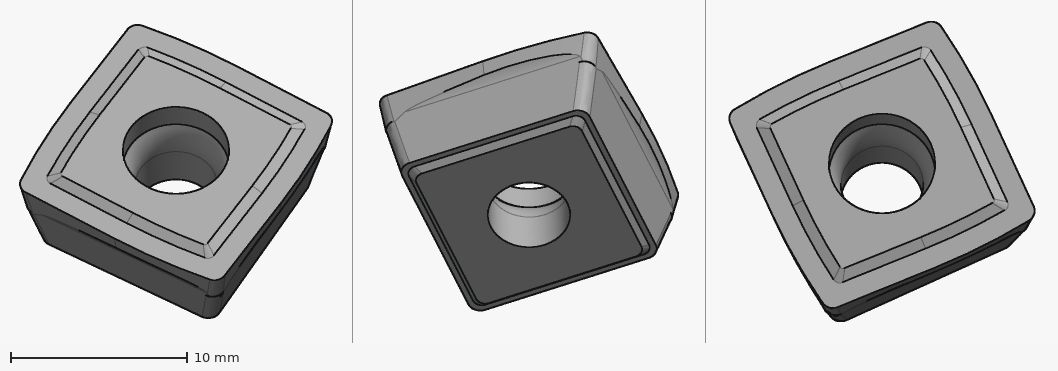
import cadquery as cq
import math

total_height = 6.2
rim_height = 5.98
base_height = 0.4

half_width = 6.9
bow_start = 0.25
bow_radius = 37.26
rim_corner_radius = 0.69
flank_corner_radius = 0.83
flank_draft = 7.6

body_turn = 2.4
body_half_bottom = 5.73
body_draft = 10.9
body_corner_radius = 0.73
body_corner_top = 3.8
foot_ledge = 0.35
foot_chamfer = 0.33
foot_corner_radius = 0.55

blend_height = 4.22
blend_radius = 1.52
blend_sweep = 65.0

land_inset_bottom = 1.27
land_inset_top = 1.93
land_corner_bottom = 0.41
land_corner_top = 0.21

head_radius = 3.01
bore_radius = 2.33
head_depth = 1.71
seat_depth = 1.71


def quarter_turn(point, turns):
    """Point turned counter-clockwise about the part axis by whole quarter turns."""
    x, y = point
    for _ in range(turns):
        x, y = -y, x
    return x, y


def bowed_wire(inset, corner_radius, height):
    """Four-fold outline, moved inward by inset from the rim."""
    half = half_width - inset
    radius = bow_radius - inset
    center_y = radius - half
    corner_x = half - corner_radius
    bow_angle = math.asin((corner_x - bow_start) / (radius - corner_radius))

    def on_bow(angle):
        return bow_start + radius * math.sin(angle), center_y - radius * math.cos(angle)

    corner_y = center_y - (radius - corner_radius) * math.cos(bow_angle)
    middle_angle = (bow_angle + math.pi / 2) / 2
    corner_middle = (
        corner_x + corner_radius * math.sin(middle_angle),
        corner_y - corner_radius * math.cos(middle_angle),
    )
    next_start = (half, corner_y)
    outline = cq.Workplane("XY", origin=(0, 0, height)).moveTo(*quarter_turn(next_start, 3))
    for turns in range(4):
        outline = outline.lineTo(*quarter_turn((bow_start, -half), turns))
        outline = outline.threePointArc(
            quarter_turn(on_bow(bow_angle / 2), turns), quarter_turn(on_bow(bow_angle), turns)
        )
        outline = outline.threePointArc(
            quarter_turn(corner_middle, turns), quarter_turn(next_start, turns)
        )
    return outline.close().val()


def square_wire(half, corner_radius, height):
    square = cq.Workplane("XY", origin=(0, 0, height)).rect(2 * half, 2 * half).val()
    return square.fillet2D(corner_radius, square.Vertices())


def loft(lower, upper):
    return cq.Workplane(cq.Solid.makeLoft([lower, upper], True))


def body_half(height):
    return body_half_bottom + (height - base_height) * math.tan(math.radians(body_draft))


def flared_bar():
    """Long bar whose drafted side faces curve outward along a tangent blend."""
    draft = math.radians(body_draft)
    center_x = body_half(blend_height) + blend_radius * math.cos(draft)
    center_z = blend_height - blend_radius * math.sin(draft)

    def on_blend(degrees):
        angle = math.pi - draft - math.radians(degrees)
        return center_x + blend_radius * math.cos(angle), center_z + blend_radius * math.sin(angle)

    end = on_blend(blend_sweep)
    half_bar = (
        cq.Workplane("XZ")
        .moveTo(0, body_corner_top)
        .lineTo(body_half(body_corner_top), body_corner_top)
        .lineTo(body_half(blend_height), blend_height)
        .threePointArc(on_blend(blend_sweep / 2), end)
        .lineTo(end[0], rim_height)
        .lineTo(0, rim_height)
        .close()
        .extrude(2 * half_width, both=True)
    )
    return half_bar.union(half_bar.mirror("YZ"))


lower_body = loft(
    square_wire(body_half_bottom, body_corner_radius, base_height),
    square_wire(body_half(body_corner_top), body_corner_radius, body_corner_top),
)
flare = flared_bar().intersect(flared_bar().rotate((0, 0, 0), (0, 0, 1), 90))
core = lower_body.union(flare).rotate((0, 0, 0), (0, 0, 1), body_turn)

flank_inset = (rim_height - base_height) * math.tan(math.radians(flank_draft))
flank = loft(
    bowed_wire(flank_inset, flank_corner_radius, base_height),
    bowed_wire(0, rim_corner_radius, rim_height),
)

foot_half = body_half_bottom - foot_ledge
foot = loft(
    square_wire(foot_half - foot_chamfer, foot_corner_radius, 0),
    square_wire(foot_half, foot_corner_radius, base_height),
).rotate((0, 0, 0), (0, 0, 1), body_turn)

land = loft(
    bowed_wire(land_inset_bottom, land_corner_bottom, rim_height),
    bowed_wire(land_inset_top, land_corner_top, total_height),
)

seat_top = total_height - head_depth
seat_bottom = seat_top - seat_depth
seat_width = head_radius - bore_radius
seat_radius = (seat_depth**2 + seat_width**2) / (2 * seat_width)
seat_angle = math.asin(seat_depth / seat_radius) / 2
seat_middle = (
    bore_radius + seat_radius * (1 - math.cos(seat_angle)),
    seat_bottom + seat_radius * math.sin(seat_angle),
)
hole = (
    cq.Workplane("XZ")
    .lineTo(bore_radius, 0)
    .lineTo(bore_radius, seat_bottom)
    .threePointArc(seat_middle, (head_radius, seat_top))
    .lineTo(head_radius, total_height)
    .lineTo(0, total_height)
    .close()
    .revolve(360, (0, 0, 0), (0, 1, 0))
)

result = core.intersect(flank).union(foot).union(land).cut(hole)